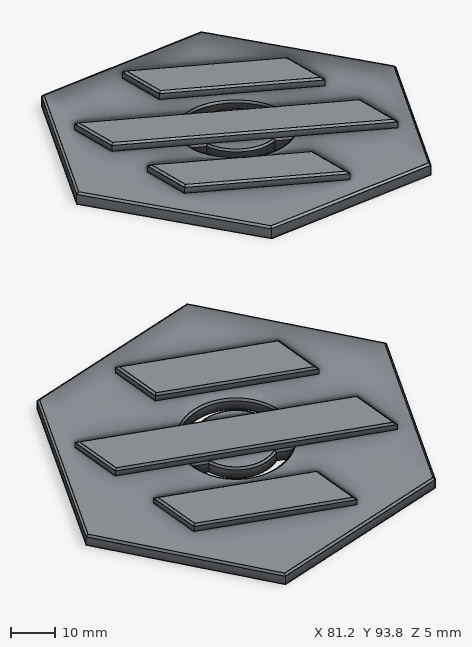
import cadquery as cq
import math

hex_corner_distance = 93.8
plate_thickness = 3.0
edge_chamfer = 0.5

opening_radius = 13.1
disc_radius = 10.0

bar_height = 2.0
bar_chamfer = 0.5
bar_lean = math.radians(30)
bar_width = 13.13
bar_spacing = 25.7
long_bar_length = 56.8
short_bar_length = 32.9
spoke_width = bar_width + 2 * edge_chamfer / math.cos(bar_lean)


def slanted_bar(width, length, height, center_x=0.0, center_y=0.0):
    """Parallelogram prism standing on Z = 0, leaning toward +X as Y grows."""
    shift = length / 2 * math.tan(bar_lean)
    outline = [
        (center_x - shift - width / 2, center_y - length / 2),
        (center_x - shift + width / 2, center_y - length / 2),
        (center_x + shift + width / 2, center_y + length / 2),
        (center_x + shift - width / 2, center_y + length / 2),
    ]
    return cq.Workplane("XY").polyline(outline).close().extrude(height)


def plate():
    """Hexagon with a ring-shaped opening bridged by two spokes; all top edges chamfered."""
    hexagon = (
        cq.Workplane("XY")
        .polygon(6, hex_corner_distance)
        .extrude(plate_thickness)
        .rotate((0, 0, 0), (0, 0, 1), 90)
    )
    ring = cq.Workplane("XY").circle(opening_radius).circle(disc_radius).extrude(plate_thickness)
    spokes = slanted_bar(spoke_width, long_bar_length, plate_thickness)
    return hexagon.cut(ring.cut(spokes)).faces(">Z").edges().chamfer(edge_chamfer)


def raised_bar(length, center_x=0.0, center_y=0.0):
    """Bar on top of the plate with a chamfered upper rim."""
    bar = slanted_bar(bar_width, length, bar_height, center_x, center_y)
    return bar.faces(">Z").chamfer(bar_chamfer).translate((0, 0, plate_thickness))


def raised_bars():
    """Long bar through the center and a short bar on each side of it, flush with one of its ends."""
    bars = raised_bar(long_bar_length)
    end_offset = (long_bar_length - short_bar_length) / 2
    for side in (-1, 1):
        center_y = -side * end_offset
        center_x = side * bar_spacing + center_y * math.tan(bar_lean)
        bars = bars.union(raised_bar(short_bar_length, center_x, center_y))
    return bars


result = plate().union(raised_bars())